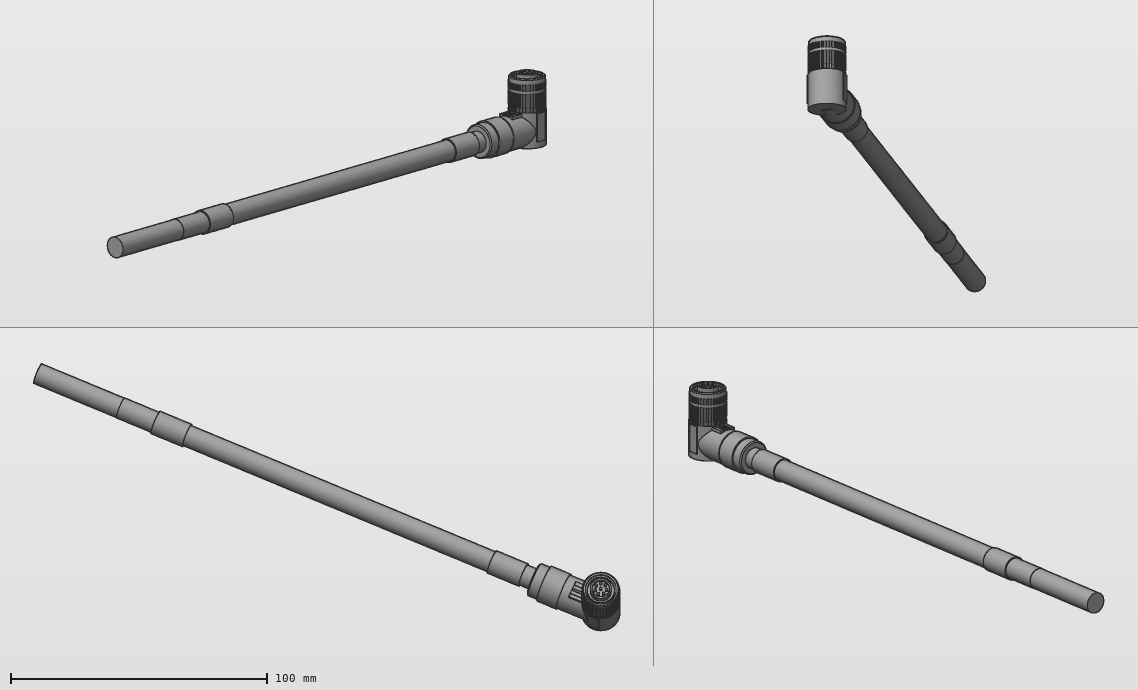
import cadquery as cq
import math

total_length = 246.9
total_height = 29.65
total_width = 15.0

head_radius = 7.48
head_bottom = -6.6
head_top = 7.8
neck_radius = 7.15
collar_top = 21.3
collar_edge_chamfer = 0.4

pad_width = 4.7
pad_bottom = -4.1
pad_top = 7.3

band_radius = 7.43
neck_band_radius = 7.3
tooth_count = 36
tooth_depth = 0.5
tooth_fill = 0.5
lower_band_bottom = 9.7
lower_band_top = 15.3
upper_band_bottom = 16.6
upper_band_top = 19.0

socket_radius = 5.3
socket_depth = 2.3
socket_mouth_radius = 6.0
socket_mouth_depth = 0.8
insert_radius = 4.1
insert_wall = 0.7
insert_recess = 1.2
contact_radius = 0.5
contact_circle_radius = 2.3
contact_count = 7

barrel_radius = 7.4
barrel_rear_radius = 7.0
tail_radius = 6.8
grip_start = 15.8
grip_end = 24.0
barrel_end = 28.5
tail_chamfer = 0.5

latch_width = 6.7
latch_end = 12.2
latch_top = 7.4
latch_groove_offset = 1.15
latch_groove_width = 1.5
latch_groove_depth = 0.4

cable_radius = 4.25
cable_end_radius = 4.15
sleeve_radius = 4.75
sleeve_length = 13.4
sleeve_starts = (32.9, 175.9)
jacket_end = 204.2

cable_tip = total_length - head_radius
insert_top = total_height - barrel_radius


def upright(radius, bottom, top):
    """Solid cylinder on the head axis."""
    return cq.Workplane("XY").workplane(offset=bottom).circle(radius).extrude(top - bottom)


def lying(radius, start, end):
    """Solid cylinder on the cable axis, between two distances from the head axis."""
    return cq.Workplane("XZ").workplane(offset=start).circle(radius).extrude(end - start)


def polar_point(radius, angle):
    return (radius * math.cos(angle), radius * math.sin(angle))


def gripping_band(radius, bottom, top):
    """Ring of straight axial teeth around the head axis."""
    pitch = 2 * math.pi / tooth_count
    half_tooth = pitch * tooth_fill / 2
    root_radius = radius - tooth_depth
    outline = []
    for index in range(tooth_count):
        center = index * pitch
        outline.append(polar_point(root_radius, center - half_tooth))
        outline.append(polar_point(radius, center - half_tooth))
        outline.append(polar_point(radius, center + half_tooth))
        outline.append(polar_point(root_radius, center + half_tooth))
    return cq.Workplane("XY").workplane(offset=bottom).polyline(outline).close().extrude(top - bottom)


def make_head():
    pad_height = pad_top - pad_bottom
    pads = cq.Workplane("XY").box(total_width, pad_width, pad_height)
    pads = pads.translate((0, 0, (pad_top + pad_bottom) / 2))
    neck = upright(neck_radius, head_top, collar_top).faces(">Z").chamfer(collar_edge_chamfer)
    head = upright(head_radius, head_bottom, head_top).union(pads).union(neck)
    head = head.union(gripping_band(band_radius, lower_band_bottom, lower_band_top))
    head = head.union(gripping_band(band_radius, upper_band_bottom, upper_band_top))
    return head.union(gripping_band(neck_band_radius, head_top, lower_band_bottom))


def make_insert():
    """Shrouded contact insert standing on the socket floor, with its pins."""
    floor = collar_top - socket_depth
    recess_floor = insert_top - insert_recess
    insert = upright(insert_radius, floor, insert_top)
    insert = insert.cut(upright(insert_radius - insert_wall, recess_floor, insert_top))
    pin = upright(contact_radius, recess_floor, insert_top)
    insert = insert.union(pin)
    for index in range(contact_count):
        x, y = polar_point(contact_circle_radius, 2 * math.pi * index / contact_count)
        insert = insert.union(pin.translate((x, y, 0)))
    return insert


def make_latch():
    """Flat-topped block with two lengthwise grooves."""
    latch = cq.Workplane("XY").box(latch_width, latch_end, latch_top, centered=(True, False, False))
    groove = cq.Workplane("XY").box(
        latch_groove_width, latch_end, latch_groove_depth, centered=(True, False, False)
    )
    for side in (-1, 1):
        latch = latch.cut(groove.translate((side * latch_groove_offset, 0, latch_top - latch_groove_depth)))
    return latch.translate((0, -latch_end, 0))


def make_barrel():
    barrel = lying(barrel_rear_radius, 0, grip_start)
    barrel = barrel.union(lying(barrel_radius, grip_start, grip_end))
    tail = lying(tail_radius, grip_end, barrel_end).faces("<Y").chamfer(tail_chamfer)
    return barrel.union(tail).union(make_latch())


def make_cable():
    cable = lying(cable_radius, 0, jacket_end).union(lying(cable_end_radius, jacket_end, cable_tip))
    for start in sleeve_starts:
        cable = cable.union(lying(sleeve_radius, start, start + sleeve_length))
    return cable


connector = make_head().union(make_barrel())
connector = connector.cut(upright(socket_radius, collar_top - socket_depth, collar_top))
connector = connector.cut(upright(socket_mouth_radius, collar_top - socket_mouth_depth, collar_top))
result = connector.union(make_insert()).union(make_cable())